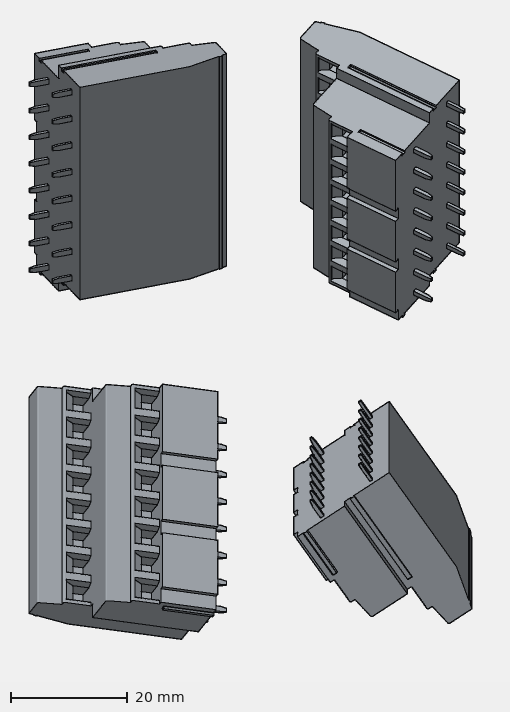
import cadquery as cq


POLES = 8
TIER_LENGTH = 40.62
PITCH = TIER_LENGTH / POLES
OVERALL_HEIGHT = 43.7
REAR_SHIFT_Z = PITCH / 2
RIB_HEIGHT = OVERALL_HEIGHT - TIER_LENGTH - REAR_SHIFT_Z

DEPTH = 19.85
BODY_Y = 28.2
OVERALL_Y = 31.7
SHELF_Y = 9.95
WALL_X = 1.6
LEDGE_RISE = 4.95
LEDGE_DEPTH = 0.95
CROWN_RISE = (BODY_Y - SHELF_Y) / 2
CROWN_RUN = 1.55
FRONT_TOP_Y = SHELF_Y + CROWN_RISE
REAR_SHIFT_X = 9.8
REAR_WALL_X = WALL_X + REAR_SHIFT_X
REAR_FACE_X = 10.55
REAR_SLOPE_X = 17.75
REAR_SLOPE_Y = 20.45
CORNER_RADIUS = 0.3
NUB_HEIGHT = 0.17
NUB_LENGTH = 0.65
NUB_DROP = 0.95

NOTCH_DEPTH = 0.85
NOTCH_HEIGHT = PITCH / 2
NOTCH_SPACING = 2.5 * PITCH
NOTCHES = 3

ENTRY_HEIGHT = 3.7
ENTRY_RISE = 4.4
LIP_DEPTH = 0.4
BEVEL_DEPTH = 0.7
BEVEL_RISE = 3.97
FUNNEL_DEPTH = 1.25
HOLE_HEIGHT = 2.8
HOLE_RISE = 2.9
HOLE_DEPTH = 4.35

FRONT_RIB_X = 2.45
FRONT_RIB_Y = 9.05
FRONT_RIB_WIDTH = 1.05
FRONT_RIB_NECK = 0.65
REAR_RIB_X = 12.2
REAR_RIB_Y = 17.55
REAR_RIB_WIDTH = 0.9
REAR_RIB_NECK = 0.52
REAR_GROOVE_LIP = 0.15

PIN_LENGTH = OVERALL_Y - BODY_Y
PIN_TAPER_START = 2.4
PIN_HEIGHT = 0.95
PIN_TIP_HEIGHT = 0.65
FRONT_PIN_X = 5.95
FRONT_PIN_WIDTH = 0.7
FRONT_PIN_TIP_WIDTH = 0.4
REAR_PIN_X = FRONT_PIN_X + 2 * PITCH
REAR_PIN_WIDTH = 0.52


def prism(points, z_start, length):
    return cq.Workplane("XY").workplane(offset=z_start).polyline(points).close().extrude(length)


def tier(points, z_start, rounded_corners):
    """Extrude a tier profile and round its ledge and crown corners."""
    body = prism(points, z_start, TIER_LENGTH)
    for x, y in rounded_corners:
        corner = cq.selectors.NearestToPointSelector((x, y, z_start + TIER_LENGTH / 2))
        body = body.edges("|Z").edges(corner).fillet(CORNER_RADIUS)
    return body


def entry_wall(wall_x, shelf_y):
    """Stepped wall of a tier, from its shelf up to the crown."""
    return [
        (wall_x, shelf_y),
        (wall_x, shelf_y + LEDGE_RISE),
        (wall_x + LEDGE_DEPTH, shelf_y + LEDGE_RISE),
        (wall_x + CROWN_RUN, shelf_y + CROWN_RISE),
    ]


def front_tier():
    wall = entry_wall(WALL_X, SHELF_Y)
    outline = [(0, 0), (0, SHELF_Y), *wall, (REAR_FACE_X, FRONT_TOP_Y), (REAR_FACE_X, 0)]
    return tier(outline, 0, [wall[1], wall[3]])


def rear_tier():
    wall = entry_wall(REAR_WALL_X, FRONT_TOP_Y)
    back = [(REAR_SLOPE_X, BODY_Y), (DEPTH, REAR_SLOPE_Y), (DEPTH, 0)]
    outline = [(REAR_FACE_X, 0), (REAR_FACE_X, FRONT_TOP_Y), *wall, *back]
    return tier(outline, REAR_SHIFT_Z, [wall[1], wall[3]])


def back_nub():
    """Low ridge running along the sloping back of the rear tier."""
    slope = (DEPTH - REAR_SLOPE_X) / (BODY_Y - REAR_SLOPE_Y)
    x_top = REAR_SLOPE_X + slope * NUB_DROP
    x_low = x_top + slope * NUB_LENGTH
    y_top = BODY_Y - NUB_DROP
    y_low = y_top - NUB_LENGTH
    outline = [
        (REAR_SLOPE_X, y_top),
        (x_top + NUB_HEIGHT, y_top),
        (x_low + NUB_HEIGHT, y_low),
        (REAR_SLOPE_X, y_low),
    ]
    return prism(outline, REAR_SHIFT_Z, TIER_LENGTH)


def wire_entry(wall_x, shelf_y, z):
    """Tapered mouth with a ramped upper side, followed by a straight hole."""
    hole_x = wall_x + FUNNEL_DEPTH
    side = prism(
        [
            (wall_x, shelf_y),
            (wall_x, shelf_y + ENTRY_RISE),
            (wall_x + LIP_DEPTH, shelf_y + ENTRY_RISE),
            (wall_x + BEVEL_DEPTH, shelf_y + BEVEL_RISE),
            (hole_x, shelf_y + HOLE_RISE),
            (hole_x, shelf_y),
        ],
        z - ENTRY_HEIGHT / 2,
        ENTRY_HEIGHT,
    )
    taper = (
        cq.Workplane("XZ", origin=(0, shelf_y, 0))
        .polyline([
            (wall_x, z - ENTRY_HEIGHT / 2),
            (wall_x, z + ENTRY_HEIGHT / 2),
            (hole_x, z + HOLE_HEIGHT / 2),
            (hole_x, z - HOLE_HEIGHT / 2),
        ])
        .close()
        .extrude(-ENTRY_RISE)
    )
    hole = cq.Workplane("XY").box(HOLE_DEPTH, HOLE_RISE, HOLE_HEIGHT, centered=(False, False, True))
    return side.intersect(taper).union(hole.translate((wall_x, shelf_y, z)))


def front_notch(z):
    return cq.Workplane("XY").box(NOTCH_DEPTH, SHELF_Y, NOTCH_HEIGHT, centered=False).translate((0, 0, z))


def key_bar(x, z, length, sections):
    """Bar along Y whose XZ section is symmetric about x, given as (width, z offset) pairs."""
    left = [(x - width / 2, z + offset) for width, offset in sections]
    right = [(x + width / 2, z + offset) for width, offset in reversed(sections)]
    return cq.Workplane("XZ").polyline(left + right).close().extrude(-length)


def pin(x, z, width, tip_width):
    """Rectangular pin below the base, tapered towards its tip."""
    shank = (
        cq.Workplane("XZ", origin=(x, 0, z))
        .rect(width, PIN_HEIGHT)
        .extrude(PIN_TAPER_START)
    )
    tip = (
        cq.Workplane("XZ", origin=(x, -PIN_TAPER_START, z))
        .rect(width, PIN_HEIGHT)
        .workplane(offset=PIN_LENGTH - PIN_TAPER_START)
        .rect(tip_width, PIN_TIP_HEIGHT)
        .loft()
    )
    return shank.union(tip)


result = front_tier().union(rear_tier()).union(back_nub())

for index in range(NOTCHES):
    result = result.cut(front_notch(index * NOTCH_SPACING))

front_rib = [
    (FRONT_RIB_NECK, 0),
    (FRONT_RIB_WIDTH, -RIB_HEIGHT / 3),
    (FRONT_RIB_NECK, -RIB_HEIGHT),
]
front_groove = [(FRONT_RIB_NECK, 0), (FRONT_RIB_WIDTH, -RIB_HEIGHT)]
rear_rib = [(REAR_RIB_NECK, 0), (REAR_RIB_WIDTH, -RIB_HEIGHT)]
rear_groove = [
    (REAR_RIB_WIDTH, 0),
    (REAR_RIB_NECK, -REAR_GROOVE_LIP),
    (REAR_RIB_WIDTH, -RIB_HEIGHT),
]

result = result.union(key_bar(FRONT_RIB_X, 0, FRONT_RIB_Y, front_rib))
result = result.union(key_bar(REAR_RIB_X, REAR_SHIFT_Z, REAR_RIB_Y, rear_rib))
result = result.cut(key_bar(FRONT_RIB_X, TIER_LENGTH, FRONT_RIB_Y, front_groove))
rear_top_z = REAR_SHIFT_Z + TIER_LENGTH
result = result.cut(key_bar(REAR_RIB_X, rear_top_z, REAR_RIB_Y, rear_groove))

for pole in range(POLES):
    front_z = (pole + 0.5) * PITCH
    rear_z = front_z + REAR_SHIFT_Z
    result = result.cut(wire_entry(WALL_X, SHELF_Y, front_z))
    result = result.cut(wire_entry(REAR_WALL_X, FRONT_TOP_Y, rear_z))
    result = result.union(pin(FRONT_PIN_X, front_z, FRONT_PIN_WIDTH, FRONT_PIN_TIP_WIDTH))
    result = result.union(pin(REAR_PIN_X, rear_z, REAR_PIN_WIDTH, REAR_PIN_WIDTH))